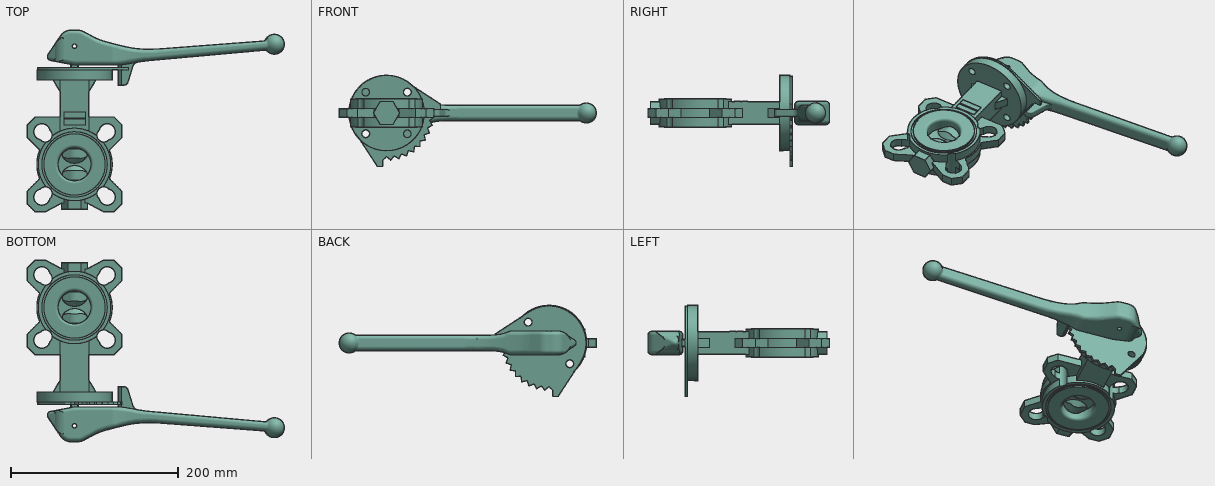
import cadquery as cq
import math


ring_radius = 43.2
ring_half_length = 16.5
seat_diameter = 73.0
seat_recess_diameter = 78.0
seat_half_length = 17.5
seat_groove_depth = 1.0
bore_diameter = 39.1
bore_mouth_fillet = 3.4

web_disc_radius = 45.0
lug_half_span = 56.5
lug_corner = 47.0
lug_side_end = 32.0
lug_bottom_end = 34.6
lug_root_inset = 24.0
web_bottom_root = (15.0, 46.0)
web_thickness = 10.5
bolt_circles = [(110.0, 19.0), (98.4, 16.0)]

hex_across_flats = 27.0
hex_end_y = -53.5

neck_width = 34.4
neck_depth = 27.0
rib_half_width = 25.5
rib_bottom_y = 86.5
flange_bottom_y = 100.5
flange_thickness = 12.0
flange_diameter = 90.0
flange_hole_diameter = 9.0
flange_bolt_circle = 70.0
label_width = 25.6
label_height = 7.0
label_raise = 0.5
label_centres_y = (58.9, 50.4)

plate_thickness = 3.0
plate_radius = 44.0
valley_radius = 52.0
tooth_radius = 56.6
tooth_pitch = 10.0
tooth_count = 9
stop_length = 64.0
stop_inner = 4.4
stop_outer = 10.8
stop_fillet = 1.2

stem_diameter = 12.0
stem_square = 10.0
stem_end_y = 130.0

disc_thickness = 6.0
hub_half_width = 14.6
hub_crown_half_width = 6.5
hub_shoulder_z = 7.0
hub_crown_z = 9.0
hub_tip_y = 1.3
hub_cone_radius = 17.1
hub_cone_top_radius = 10.9

lever_half_width = 14.1
lever_bottom_y = 118.2
lever_top_y = 160.0
lever_top_flat = (-3.6, 4.0)
crown_rear_arc = [(-12.0, 157.8), (-17.2, 152.5)]
crown_front_mid = (7.6, 159.5)
crown_front_end = (11.0, 158.1)
back_straight_end = (22.4, 152.0)
back_curve = [(84.8, 137.2), (71.8, 138.2), (46.9, 143.6), back_straight_end]
underside_flat_end_x = 48.7
shoulder_start_x = 44.6
shoulder_end = (49.2, 13.0)
grip_half_width = 9.4
grip_start_x = 85.5
grip_end_x = 232.0
grip_bottom_start = (grip_start_x, 123.2)
grip_bottom_end = (grip_end_x, 136.4)
grip_top_start = (100.0, 137.6)
grip_top_end = (grip_end_x, 147.6)
lever_fillet = 5.0
lever_pin_hole_diameter = 5.0
lever_pin_hole_y = 140.8
ball_centre = (237.91, 143.1)
ball_diameter = 24.0
ball_neck_fillet = 2.5

nose_arc = [(-31.5, 131.2), (-32.3, 127.0), (-28.8, 123.7)]
nose_taper_start_x = -12.6
nose_bend = [(-18.1, 12.3), (-22.8, 8.5)]
nose_taper_end = (-34.0, 1.2)
nose_fillet = 4.0

trigger_half_width = 4.2
trigger_bottom_y = 94.2
trigger_top_y = 124.0
trigger_nose_x = valley_radius
trigger_nose_end_x = trigger_nose_x + trigger_half_width
trigger_heel = (62.6, trigger_bottom_y)
trigger_back = (69.6, 116.8)
trigger_flare = [(71.3, 119.6), (75.2, 121.8)]
trigger_tip_fillet = 5.5
trigger_edge_fillet = 1.2

tolerance = 0.01
flange_top_y = flange_bottom_y + flange_thickness
plate_top_y = flange_top_y + plate_thickness


def along_y(y):
    """Sketch plane facing +Y at height y; its local axes are X and -Z."""
    return cq.Workplane("XZ", origin=(0, y, 0)).transformed(rotate=(180, 0, 0))


def polar(radius, degrees):
    """Point at an angle measured from +X toward the second axis."""
    angle = math.radians(degrees)
    return (radius * math.cos(angle), radius * math.sin(angle))


def make_ring():
    return cq.Workplane("XY").circle(ring_radius).extrude(ring_half_length, both=True)


def make_lug_web():
    span, corner, side = lug_half_span, lug_corner, lug_side_end
    right_half = [
        (0, span),
        (corner, span),
        (span, corner),
        (span, side),
        (span - lug_root_inset, side - lug_root_inset),
        (span - lug_root_inset, lug_root_inset - side),
        (span, -side),
        (span, -corner),
        (corner, -span),
        (lug_bottom_end, -span),
        (web_bottom_root[0], -web_bottom_root[1]),
        (0, -web_bottom_root[1]),
    ]
    half = cq.Workplane("XY").polyline(right_half).close().extrude(web_thickness / 2, both=True)
    disc = cq.Workplane("XY").circle(web_disc_radius).extrude(web_thickness / 2, both=True)
    return disc.union(half).union(half.mirror("YZ"))


def make_bolt_holes():
    holes = cq.Workplane("XY")
    for pitch, diameter in bolt_circles:
        holes = holes.union(
            cq.Workplane("XY").polarArray(pitch / 2, 45, 360, 4).circle(diameter / 2)
            .extrude(ring_half_length, both=True)
        )
    return holes


def make_seat_groove():
    return (
        cq.Workplane("XY", origin=(0, 0, ring_half_length - seat_groove_depth))
        .circle(seat_recess_diameter / 2).circle(seat_diameter / 2).extrude(seat_half_length)
    )


def make_bore():
    mouth_radius = bore_diameter / 2 + bore_mouth_fillet
    fillet_start = seat_half_length - bore_mouth_fillet
    bend = bore_mouth_fillet * (1 - math.sqrt(0.5))
    half_profile = (
        cq.Workplane("XZ").moveTo(0, 0).lineTo(bore_diameter / 2, 0)
        .lineTo(bore_diameter / 2, fillet_start)
        .threePointArc((bore_diameter / 2 + bend, seat_half_length - bend), (mouth_radius, seat_half_length))
        .lineTo(0, seat_half_length).close()
    )
    half = half_profile.revolve(360, (0, 0, 0), (0, 1, 0))
    return half.union(half.mirror("XY"))


def make_hub():
    """Raised hub on the +Y, +Z quarter of the disc, with a conical nose toward the centre."""
    end_y = hub_tip_y + hub_cone_radius
    bar = (
        cq.Workplane("XZ").moveTo(-hub_half_width, 0)
        .lineTo(-hub_half_width, disc_thickness / 2)
        .lineTo(-hub_crown_half_width, hub_shoulder_z)
        .threePointArc((0, hub_crown_z), (hub_crown_half_width, hub_shoulder_z))
        .lineTo(hub_half_width, disc_thickness / 2).lineTo(hub_half_width, 0).close()
        .extrude(-end_y)
    )
    nose = (
        cq.Workplane("XY", origin=(0, end_y, disc_thickness / 2)).circle(hub_cone_radius)
        .workplane(offset=hub_crown_z - disc_thickness / 2).circle(hub_cone_top_radius).loft()
    )
    in_bore = cq.Workplane("XY").circle(bore_diameter / 2).extrude(hub_crown_z)
    return bar.intersect(nose).intersect(in_bore)


def make_disc():
    disc = cq.Workplane("XY").circle(bore_diameter / 2).extrude(disc_thickness / 2, both=True)
    hub = make_hub()
    pair = hub.union(hub.mirror("XZ"))
    return disc.union(pair).union(pair.mirror("XY"))


def make_hex_plug():
    across_corners = hex_across_flats / math.cos(math.pi / 6)
    return along_y(hex_end_y).polygon(6, across_corners).extrude(-hex_end_y)


def make_neck():
    neck = along_y(0).rect(neck_width, neck_depth).extrude(flange_bottom_y)
    half = neck_width / 2
    ribs = (
        cq.Workplane("XY")
        .polyline([
            (-rib_half_width, flange_bottom_y), (rib_half_width, flange_bottom_y),
            (half, rib_bottom_y), (-half, rib_bottom_y),
        ])
        .close().extrude(web_thickness / 2, both=True)
    )
    labels = (
        cq.Workplane("XY", origin=(0, 0, neck_depth / 2))
        .pushPoints([(0, y) for y in label_centres_y])
        .rect(label_width, label_height).extrude(label_raise)
    )
    return neck.union(ribs).union(labels)


def make_flange():
    return (
        along_y(flange_bottom_y).circle(flange_diameter / 2).extrude(flange_thickness)
        .faces("<Y").workplane(origin=(0, flange_bottom_y, 0))
        .polarArray(flange_bolt_circle / 2, 45, 360, 4).hole(flange_hole_diameter)
    )


def make_notched_plate():
    """Locking plate, symmetric about its 45 degree diagonal; sketched in X and -Z."""
    teeth = []
    for index in range(tooth_count):
        teeth.append(polar(valley_radius, index * tooth_pitch))
        teeth.append(polar(tooth_radius, (index + 0.5) * tooth_pitch))
    teeth.append(polar(valley_radius, tooth_count * tooth_pitch))

    corner = (stop_outer, stop_length)
    reach = math.hypot(*corner)
    bearing = math.degrees(math.atan2(stop_length, -stop_outer))
    tangent_angle = bearing + math.degrees(math.acos(plate_radius / reach))
    lower_tangent = polar(plate_radius, tangent_angle)
    upper_tangent = (lower_tangent[1], lower_tangent[0])
    notch_flank = valley_radius + stop_inner

    outline = (
        along_y(flange_top_y)
        .moveTo(stop_length, -stop_outer).lineTo(stop_length, -stop_inner)
        .lineTo(notch_flank, -stop_inner)
    )
    for point in teeth:
        outline = outline.lineTo(*point)
    outline = (
        outline.lineTo(-stop_inner, notch_flank).lineTo(-stop_inner, stop_length)
        .lineTo(-stop_outer, stop_length).lineTo(*lower_tangent)
        .threePointArc(polar(plate_radius, 225), upper_tangent).close()
    )
    plate = outline.extrude(plate_thickness)
    finger_end = cq.selectors.BoxSelector(
        (-stop_outer - 1, flange_top_y, -stop_length - 1), (0, plate_top_y, 1 - stop_length)
    )
    plate = plate.edges("|Y").edges(finger_end).fillet(stop_fillet)
    screw_offset = flange_bolt_circle / 2 * math.sqrt(0.5)
    screw_holes = (
        along_y(flange_top_y)
        .pushPoints([(screw_offset, -screw_offset), (-screw_offset, screw_offset)])
        .circle(flange_hole_diameter / 2).extrude(plate_thickness)
    )
    return plate.cut(screw_holes)


def make_stem():
    length = stem_end_y - flange_top_y
    square = along_y(flange_top_y).rect(stem_square, stem_square).extrude(length)
    return square.intersect(along_y(flange_top_y).circle(stem_diameter / 2).extrude(length))


def make_valve():
    seat = cq.Workplane("XY").circle(seat_diameter / 2).extrude(seat_half_length, both=True)
    groove = make_seat_groove()
    ring = make_ring().union(make_lug_web()).union(make_hex_plug()).union(make_neck())
    ring = ring.cut(make_bolt_holes()).cut(groove).cut(groove.mirror("XY"))
    ring = ring.union(seat).cut(make_bore()).union(make_disc())
    return ring.union(make_flange()).union(make_notched_plate()).union(make_stem())


def make_lever_blank():
    bottom_slope = (grip_end_x - grip_start_x, grip_bottom_end[1] - grip_bottom_start[1])
    top_slope = (grip_top_start[0] - grip_end_x, grip_top_start[1] - grip_top_end[1])
    back_slope = (crown_front_end[0] - back_straight_end[0], crown_front_end[1] - back_straight_end[1])
    side = (
        cq.Workplane("XY", origin=(0, 0, -lever_half_width))
        .moveTo(0, lever_bottom_y).lineTo(underside_flat_end_x, lever_bottom_y)
        .spline([grip_bottom_start], tangents=[(1, 0), bottom_slope], includeCurrent=True)
        .lineTo(*grip_bottom_end).lineTo(*grip_top_end).lineTo(*grip_top_start)
        .spline(back_curve, tangents=[top_slope, back_slope], includeCurrent=True)
        .lineTo(*crown_front_end)
        .threePointArc(crown_front_mid, (lever_top_flat[1], lever_top_y))
        .lineTo(lever_top_flat[0], lever_top_y)
        .threePointArc(*crown_rear_arc)
        .lineTo(*nose_arc[0])
        .threePointArc(*nose_arc[1:])
        .close()
        .extrude(2 * lever_half_width)
    )
    neck_slope = (2, -1)
    plan_half = (
        cq.Workplane("XZ").moveTo(nose_taper_end[0], 0).lineTo(nose_taper_end[0], lever_half_width)
        .lineTo(shoulder_start_x, lever_half_width)
        .tangentArcPoint(shoulder_end, relative=False)
        .spline([(grip_start_x, grip_half_width)], tangents=[neck_slope, (1, 0)], includeCurrent=True)
        .lineTo(grip_end_x, grip_half_width).lineTo(grip_end_x, 0).close()
        .extrude(-lever_top_y)
    )
    plan = plan_half.union(plan_half.mirror("XY"))
    return side.intersect(plan)


def round_lever_edges(blank):
    """Round the long edges along both sides of the lever, leaving its centre faces flat."""
    side_edges = [
        edge for edge in blank.edges().vals()
        if edge.BoundingBox().xlen > 0.5 and abs(edge.Center().z) > grip_half_width / 2
    ]
    return blank.newObject(side_edges).fillet(lever_fillet)


def make_nose_cutter():
    """Material removed beside the pointed nose, on both sides."""
    outside = lever_half_width + 1
    one_side = (
        cq.Workplane("XZ").moveTo(nose_taper_start_x, lever_half_width)
        .threePointArc(*nose_bend).lineTo(*nose_taper_end)
        .lineTo(nose_taper_end[0], outside).lineTo(nose_taper_start_x, outside).close()
        .extrude(-(lever_top_y + 1))
    )
    return one_side.union(one_side.mirror("XY"))


def round_nose_ridges(body):
    """Round the two sloping ridges between the front face of the nose and its sides."""
    bend_end_x = nose_bend[-1][0]
    nose_mid_y = nose_arc[1][1]
    ridges = [
        edge for edge in body.edges().vals()
        if edge.geomType() == "LINE" and edge.BoundingBox().xmax < bend_end_x + tolerance
        and edge.Center().y > nose_mid_y and edge.BoundingBox().xlen > nose_fillet
    ]
    return body.newObject(ridges).fillet(nose_fillet)


def blend_ball(body):
    """Blend the end of the grip into the ball."""
    centre = cq.Vector(*ball_centre, 0)
    radius = ball_diameter / 2
    seam = [
        edge for edge in body.edges().vals()
        if edge.Center().x < ball_centre[0] - radius / 3
        and abs((edge.startPoint() - centre).Length - radius) < tolerance
        and abs((edge.endPoint() - centre).Length - radius) < tolerance
    ]
    return body.newObject(seam).fillet(ball_neck_fillet)


def make_trigger():
    """Catch that hangs from the lever; its wedge nose sits in the first notch of the plate."""
    flare_end_x = trigger_flare[-1][0]
    side = (
        cq.Workplane("XY").moveTo(trigger_nose_x, trigger_top_y).lineTo(trigger_nose_x, trigger_bottom_y)
        .lineTo(*trigger_heel).lineTo(*trigger_back)
        .threePointArc(*trigger_flare).lineTo(flare_end_x, trigger_top_y).close()
        .extrude(trigger_half_width, both=True)
    )
    heel = side.edges(cq.selectors.NearestToPointSelector((*trigger_heel, 0)))
    side = heel.fillet(trigger_tip_fillet)
    w = trigger_half_width
    wedge = (
        cq.Workplane("XZ")
        .polyline([
            (trigger_nose_x, 0), (trigger_nose_end_x, -w), (flare_end_x, -w),
            (flare_end_x, w), (trigger_nose_end_x, w),
        ])
        .close().extrude(-lever_top_y)
    )
    trigger = side.intersect(wedge)
    back_edges = [
        edge for edge in trigger.edges().vals()
        if abs(abs(edge.Center().z) - w) < tolerance and edge.Center().x > trigger_nose_end_x + tolerance
        and edge.Center().y < trigger_back[1]
    ]
    return trigger.newObject(back_edges).fillet(trigger_edge_fillet)


def make_lever():
    body = round_lever_edges(make_lever_blank()).cut(make_nose_cutter())
    body = round_nose_ridges(body)
    ball = cq.Workplane("XY", origin=(*ball_centre, 0)).sphere(ball_diameter / 2)
    pin_hole = (
        cq.Workplane("XY", origin=(0, lever_pin_hole_y, 0))
        .circle(lever_pin_hole_diameter / 2).extrude(lever_half_width, both=True)
    )
    body = blend_ball(body.union(ball))
    return body.union(make_trigger()).cut(pin_hole).cut(make_stem())


valve = make_valve()
lever = make_lever()
result = cq.Compound.makeCompound([valve.solids().val(), lever.solids().val()])